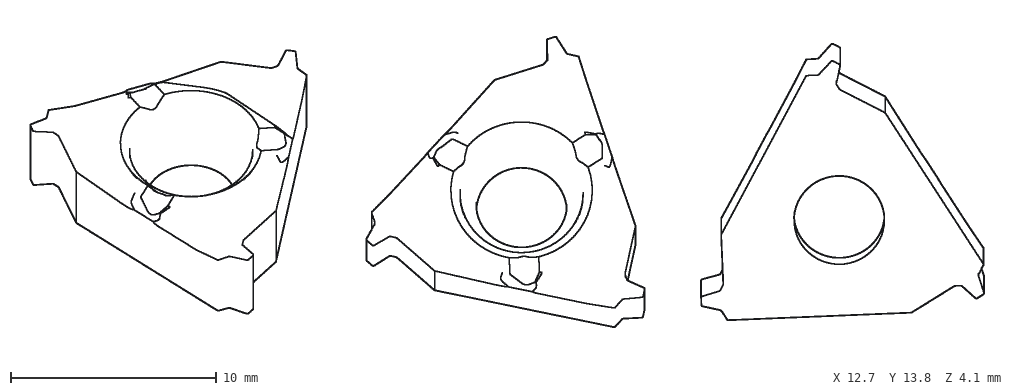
import cadquery as cq
import math

TURNS = (0, 120, 240)
TOOTH_NORMAL = -90
SIDE_NORMAL = 180
NEXT_SIDE_NORMAL = -60
REACH = 16.62
OVERRUN = 0.14

height = 4.1
side_distance = 4.76
corner_end_y = -5.65
shoulder_y = -5.79
shoulder_end_x = -2.99
shoulder_tilt = 30.0
tooth_axis_x = -3.77
tooth_tip_y = -6.9
tooth_tip_half_width = 0.24
tooth_flank_angle = 15.0
tip_round = 0.08
root_round = 0.11
corner_round = 0.05
shoulder_round = 0.21

floor_z = 3.5
crease_distance = 4.3
rake_angle = 10.0
crease_round = 0.55
clearing_inner = 1.38
clearing_start = -8.31
clearing_end = 3.05

boss_radius = 3.71
slant_wall_distance = 3.6
slant_wall_turn = -32.0
boss_wall_angle = 24.0
boss_foot_round = 0.33
rim_round = 0.05
boss_corner_round = 0.83

ledge_z = 3.61
steep_relief_distance = 4.25
ledge_round = 0.2
relief_start = -0.69
relief_end = 2.77
gentle_relief_distance = 3.84
gentle_relief_slope = 22.0
gentle_relief_start = 1.15

groove_angle = 195.0
groove_bottom_z = 3.64
groove_bottom_half_width = 0.035
groove_offset = -0.062
groove_flank_rise = 39.0
groove_bottom_round = 0.35
groove_start = 2.08

bore_radius = 2.2
seat_start_z = 1.27
seat_round = 2.25
seat_end_angle = 45.0
seat_blend_round = 0.48
shelf_z = 3.6
shelf_edge_round = 0.03
shelf_width = 0.04
shelf_foot_round = 0.25
recess_top_radius = 3.45


def sin(angle):
    return math.sin(math.radians(angle))


def cos(angle):
    return math.cos(math.radians(angle))


def tan(angle):
    return math.tan(math.radians(angle))


def turned(point, angle):
    x, y = point
    return (x * cos(angle) - y * sin(angle), x * sin(angle) + y * cos(angle))


def root_point(start, flank_side):
    """Where a tilted edge from start meets the tooth flank on the given side (-1 left, +1 right)."""
    x, y = start
    half_width = tooth_tip_half_width + (y - tooth_tip_y) * tan(tooth_flank_angle)
    flank_x = tooth_axis_x + flank_side * half_width
    run = (x - flank_x) * flank_side / (1 - tan(shoulder_tilt) * tan(tooth_flank_angle))
    return (x - flank_side * run, y - run * tan(shoulder_tilt))


def make_blank():
    corner = (-side_distance, corner_end_y)
    shoulder = (shoulder_end_x, shoulder_y)
    side_end_x = (side_distance - shoulder_y * sin(NEXT_SIDE_NORMAL)) / cos(NEXT_SIDE_NORMAL)
    side_end = (side_end_x, shoulder_y)
    roots = [root_point(corner, -1), root_point(shoulder, 1)]
    tips = [(tooth_axis_x + s * tooth_tip_half_width, tooth_tip_y) for s in (-1, 1)]
    third = [corner, roots[0], tips[0], tips[1], roots[1], shoulder, side_end]
    outline = [turned(p, a) for a in TURNS for p in third]
    blank = cq.Workplane("XY").polyline(outline).close().extrude(height)
    rounds = (
        (roots, root_round),
        (tips, tip_round),
        ([corner], corner_round),
        ([shoulder], shoulder_round),
    )
    for points, radius in rounds:
        for angle in TURNS:
            for point in points:
                x, y = turned(point, angle)
                edge = cq.selectors.NearestToPointSelector((x, y, height / 2))
                blank = blank.edges(edge).fillet(radius)
    return blank


def along_side(profile, normal_angle, start, end):
    """Extrude a (distance, z) profile along a line whose outward normal has the given angle.

    Start and end are places on that line, counted counterclockwise from the foot of the normal.
    """
    body = profile.extrude(start - end)
    return body.translate((0, start, 0)).rotate((0, 0, 0), (0, 0, 1), normal_angle)


def around_axis(profile, start_angle, sweep):
    """Revolve a (radius, z) profile about Z through part of a turn."""
    return profile.revolve(sweep, (0, 0, 0), (0, 1, 0)).rotate((0, 0, 0), (0, 0, 1), start_angle)


def wall_cut_profile(top_distance, wall_angle, base_z, foot_round):
    """Region outside a sloping wall: rounded rim, wall, rounded foot, flat base."""
    foot = top_distance + (height - base_z) * tan(wall_angle)
    turn = 90 - wall_angle
    setback = foot_round * tan(turn / 2)
    rim_setback = rim_round * tan(turn / 2)
    rim_center = (top_distance - rim_setback, height - rim_round)
    foot_center = (foot + setback, base_z + foot_round)

    def rim_at(angle):
        return (rim_center[0] + rim_round * sin(angle), rim_center[1] + rim_round * cos(angle))

    def foot_at(angle):
        return (foot_center[0] - foot_round * sin(angle), foot_center[1] - foot_round * cos(angle))

    return (
        cq.Workplane("XZ")
        .moveTo(*rim_at(0))
        .threePointArc(rim_at(turn / 2), rim_at(turn))
        .lineTo(*foot_at(turn))
        .threePointArc(foot_at(turn / 2), foot_at(0))
        .lineTo(REACH, base_z)
        .lineTo(REACH, height + OVERRUN)
        .lineTo(rim_center[0], height + OVERRUN)
        .close()
    )


def make_rake_space():
    """Space above the floor and rake face of the tooth that points to -Y."""
    setback = crease_round * tan(rake_angle / 2)
    top_z = floor_z + (REACH - crease_distance) * tan(rake_angle)

    def crease_at(angle):
        return (
            crease_distance - setback + crease_round * sin(angle),
            floor_z + crease_round * (1 - cos(angle)),
        )

    profile = (
        cq.Workplane("XZ")
        .moveTo(clearing_inner, floor_z)
        .lineTo(*crease_at(0))
        .threePointArc(crease_at(rake_angle / 2), crease_at(rake_angle))
        .lineTo(REACH, top_z)
        .lineTo(clearing_inner, top_z)
        .close()
    )
    return along_side(profile, TOOTH_NORMAL, clearing_start, clearing_end)


def make_tooth_clearance():
    """Cutters that drop the top face around one third of the boss."""
    space = make_rake_space()

    def boss_wall(top_distance):
        return wall_cut_profile(top_distance, boss_wall_angle, floor_z, boss_foot_round)

    slant_normal = TOOTH_NORMAL + slant_wall_turn
    corner_offset = boss_radius - boss_corner_round
    corner_sweep = math.degrees(math.acos((slant_wall_distance - boss_corner_round) / corner_offset))
    arc_start = slant_normal + corner_sweep
    corner_x, corner_y = turned((corner_offset, 0), arc_start)

    straight = along_side(boss_wall(boss_radius), TOOTH_NORMAL, -REACH, REACH)
    slant = along_side(boss_wall(slant_wall_distance), slant_normal, -REACH, REACH)
    arc = around_axis(boss_wall(boss_radius), arc_start, TOOTH_NORMAL - arc_start)
    corner = around_axis(boss_wall(boss_corner_round), slant_normal, corner_sweep)
    corner = corner.translate((corner_x, corner_y, 0))
    return [space.intersect(outside) for outside in (straight, slant, arc, corner)]


def make_side_relief():
    """Cutters that open the boss down to a ledge along the -X side."""
    steep = wall_cut_profile(steep_relief_distance, boss_wall_angle, ledge_z, ledge_round)
    gentle_drop = (REACH - gentle_relief_distance) * tan(gentle_relief_slope)
    gentle = (
        cq.Workplane("XZ")
        .moveTo(gentle_relief_distance, height)
        .lineTo(REACH, height - gentle_drop)
        .lineTo(REACH, height)
        .close()
    )
    return [
        along_side(steep, SIDE_NORMAL, relief_start, relief_end),
        along_side(gentle, SIDE_NORMAL, gentle_relief_start, relief_end),
    ]


def make_groove():
    """V with rounded bottom corners, running outward along a radius of the hole."""

    def bottom_round_at(angle):
        return (
            groove_bottom_half_width + groove_bottom_round * sin(angle),
            groove_bottom_z + groove_bottom_round * (1 - cos(angle)),
        )

    tangent_x, tangent_z = bottom_round_at(groove_flank_rise)
    middle_x, middle_z = bottom_round_at(groove_flank_rise / 2)
    top_z = height + OVERRUN
    top_x = tangent_x + (top_z - tangent_z) / tan(groove_flank_rise)
    profile = (
        cq.Workplane("YZ", origin=(groove_start, groove_offset, 0))
        .moveTo(-top_x, top_z)
        .lineTo(-tangent_x, tangent_z)
        .threePointArc((-middle_x, middle_z), (-groove_bottom_half_width, groove_bottom_z))
        .lineTo(groove_bottom_half_width, groove_bottom_z)
        .threePointArc((middle_x, middle_z), (tangent_x, tangent_z))
        .lineTo(top_x, top_z)
        .close()
    )
    return profile.extrude(REACH).rotate((0, 0, 0), (0, 0, 1), groove_angle)


def make_hole():
    """Bore, trumpet-shaped screw seat and stepped recess, revolved about Z."""
    seat_center = (bore_radius + seat_round, seat_start_z)

    def seat_at(angle):
        return (seat_center[0] - seat_round * cos(angle), seat_center[1] + seat_round * sin(angle))

    seat_end = seat_at(seat_end_angle)
    blend_center = (
        seat_end[0] - seat_blend_round * cos(seat_end_angle),
        seat_end[1] + seat_blend_round * sin(seat_end_angle),
    )

    def blend_at(angle):
        return (
            blend_center[0] + seat_blend_round * cos(angle),
            blend_center[1] - seat_blend_round * sin(angle),
        )

    wall_radius = blend_at(0)[0]
    shelf_start = wall_radius + shelf_edge_round
    edge_middle = shelf_edge_round * (1 - cos(45))
    foot_start = shelf_start + shelf_width
    recess_turn = 90 - boss_wall_angle
    foot_center_z = shelf_z + shelf_foot_round

    def foot_at(angle):
        return (foot_start + shelf_foot_round * sin(angle), foot_center_z - shelf_foot_round * cos(angle))

    profile = (
        cq.Workplane("XZ")
        .moveTo(0, -OVERRUN)
        .lineTo(bore_radius, -OVERRUN)
        .lineTo(bore_radius, seat_start_z)
        .threePointArc(seat_at(seat_end_angle / 2), seat_end)
        .threePointArc(blend_at(seat_end_angle / 2), blend_at(0))
        .lineTo(wall_radius, shelf_z - shelf_edge_round)
        .threePointArc((wall_radius + edge_middle, shelf_z - edge_middle), (shelf_start, shelf_z))
        .lineTo(foot_start, shelf_z)
        .threePointArc(foot_at(recess_turn / 2), foot_at(recess_turn))
        .lineTo(recess_top_radius, height)
        .lineTo(recess_top_radius, height + OVERRUN)
        .lineTo(0, height + OVERRUN)
        .close()
    )
    return profile.revolve(360, (0, 0, 0), (0, 1, 0))


result = make_blank().cut(make_hole())
for cutter in [*make_tooth_clearance(), *make_side_relief(), make_groove()]:
    for angle in TURNS:
        result = result.cut(cutter.rotate((0, 0, 0), (0, 0, 1), angle))